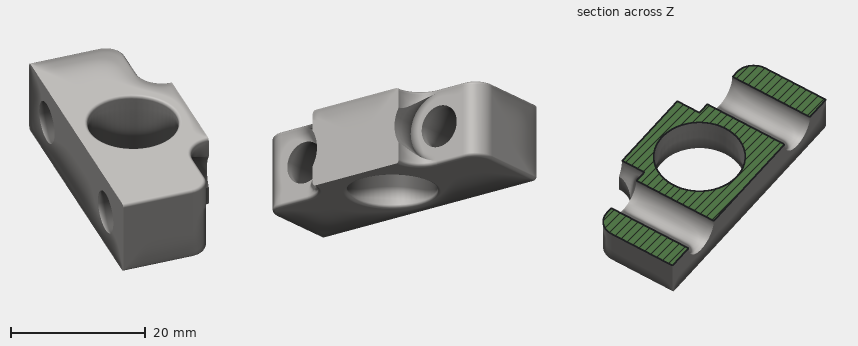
import cadquery as cq

length = 40
depth = 18
height = 12
shoulder_y = 14
neck_width = 16
shoulder_radius = 3.0
neck_radius = depth - shoulder_y
edge_round = 0.5

bore_diameter = 13.5
bore_y = depth / 2
bore_edge_round = 0.5

hole_diameter = 6.5
hole_spacing = 25.0
head_diameter = 10.6

half_length = length / 2
half_neck = neck_width / 2


def make_body():
    """Block with rounded shoulders and concave arcs leading up to the neck."""
    body = (
        cq.Workplane("XY")
        .moveTo(-half_length, 0)
        .lineTo(half_length, 0)
        .lineTo(half_length, shoulder_y - shoulder_radius)
        .radiusArc((half_length - shoulder_radius, shoulder_y), -shoulder_radius)
        .lineTo(half_neck + neck_radius, shoulder_y)
        .radiusArc((half_neck, depth), neck_radius)
        .lineTo(-half_neck, depth)
        .radiusArc((-half_neck - neck_radius, shoulder_y), neck_radius)
        .lineTo(-half_length + shoulder_radius, shoulder_y)
        .radiusArc((-half_length, shoulder_y - shoulder_radius), -shoulder_radius)
        .close()
        .extrude(height / 2, both=True)
    )
    for face in (">Z", "<Z"):
        rounded_edges = body.faces(face).edges("not(<Y or >Y)")
        body = body.newObject(rounded_edges.vals()).fillet(edge_round)
    return body


def y_cylinder(x, diameter, start_y):
    """Cylinder along Y from start_y to the back of the block."""
    return (
        cq.Workplane("XZ", origin=(x, start_y, 0))
        .circle(diameter / 2)
        .extrude(start_y - depth)
    )


def cut_bore(body):
    """Cut the vertical bore and round its two rims."""
    bore = cq.Workplane("XY").center(0, bore_y).circle(bore_diameter / 2).extrude(height, both=True)
    body = body.cut(bore)
    rims = body.faces("<Z or >Z").edges(cq.selectors.RadiusNthSelector(-1))
    return rims.fillet(bore_edge_round)


result = cut_bore(make_body())
for hole_x in (-hole_spacing / 2, hole_spacing / 2):
    result = result.cut(y_cylinder(hole_x, hole_diameter, 0))
    result = result.cut(y_cylinder(hole_x, head_diameter, shoulder_y))